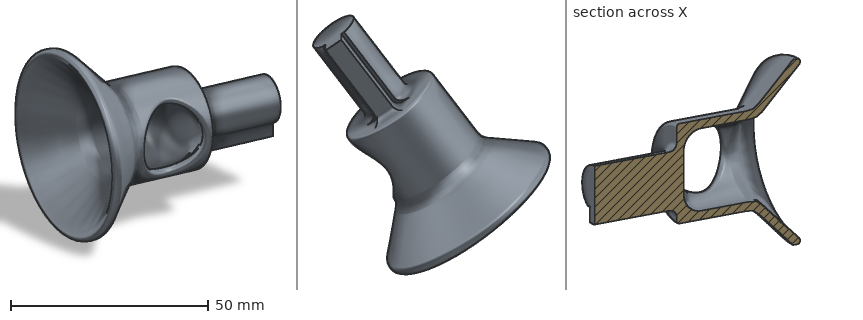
import cadquery as cq
import math

overall_length = 60.29
stem_length = 24.0
shoulder_y = overall_length - stem_length

body_radius = 13.5
wall = 2.5
bore_radius = body_radius - wall
floor_y = 34.03
floor_fillet = 5.0

cone_angle = math.radians(45)
edge_round = 1.0
rim_radius = 25.0
rim_centre_radius = rim_radius - edge_round
rim_inner_tangent_radius = rim_centre_radius - edge_round * math.sin(cone_angle)
rim_inner_tangent_y = edge_round - edge_round * math.cos(cone_angle)
inner_cone_reach = rim_inner_tangent_radius + rim_inner_tangent_y
outer_cone_reach = inner_cone_reach + wall * math.sqrt(2)
rim_top_y = outer_cone_reach - rim_radius
throat_y = outer_cone_reach - body_radius
inner_throat_y = inner_cone_reach - bore_radius
throat_blend = 5.0

stem_radius = 6.35
stem_flat_z = -5.4
key_width = 5.0
key_bottom_z = -9.5
root_fillet = 2.0

window_radius = 9.0
window_y = 25.0

runout_tip_radius = 10.46
runout_steps = 6

overlap = 0.6


def circle_edge(part, radius, y):
    """The full-circle edge about the Y axis with the given radius and position."""
    tolerance = 0.01
    corner = radius + tolerance
    low = (-corner, y - tolerance, -corner)
    high = (corner, y + tolerance, corner)
    flat_edges = part.edges(cq.selectors.BoxSelector(low, high, boundingbox=True))
    return flat_edges.filter(lambda edge: edge.BoundingBox().xmax > radius - tolerance)


def make_shell():
    """Bell and cup wall, with the bore still open at the shoulder."""
    rim_mid = cone_angle / 2
    rim_mid_point = (
        rim_centre_radius + edge_round * math.sin(rim_mid),
        edge_round - edge_round * math.cos(rim_mid),
    )
    shell = (
        cq.Workplane("XY")
        .moveTo(bore_radius, shoulder_y)
        .lineTo(body_radius, shoulder_y)
        .lineTo(body_radius, throat_y)
        .lineTo(rim_radius, rim_top_y)
        .lineTo(rim_radius, edge_round)
        .threePointArc(rim_mid_point, (rim_inner_tangent_radius, rim_inner_tangent_y))
        .lineTo(bore_radius, inner_throat_y)
        .close()
        .revolve(360, (0, 0, 0), (0, 1, 0))
    )
    rounds = [
        (body_radius, throat_y, throat_blend),
        (bore_radius, inner_throat_y, throat_blend),
        (body_radius, shoulder_y, edge_round),
        (rim_radius, rim_top_y, edge_round),
    ]
    for radius, y, size in rounds:
        shell = circle_edge(shell, radius, y).fillet(size)
    return shell


def window_cutter():
    """Cylinder along +X that forms the window."""
    return (
        cq.Workplane("YZ")
        .center(window_y, 0)
        .circle(window_radius)
        .extrude(rim_radius)
    )


def cut_window(shell):
    """Round window through the +X wall with both edges rounded."""
    reach = window_radius + overlap
    window_edges = cq.selectors.BoxSelector(
        (0, window_y - reach, -reach),
        (rim_radius, window_y + reach, reach),
        boundingbox=True,
    )
    return shell.cut(window_cutter()).edges(window_edges).fillet(edge_round)


def full_fillet_angle():
    """Angle from +X where the window edge is a full fillet height below the floor."""
    rise = floor_y - floor_fillet - window_y
    return math.degrees(math.asin(math.sqrt(window_radius**2 - rise**2) / bore_radius))


def runout_radius(angle):
    """Radius of the straight floor edge running from the full fillet to the tip."""
    limit = math.radians(full_fillet_angle())
    start_radius = bore_radius - floor_fillet
    start_x = start_radius * math.cos(limit)
    start_z = start_radius * math.sin(limit)
    turn = math.radians(angle)
    slope = start_z / (runout_tip_radius - start_x)
    return runout_tip_radius * slope / (math.sin(turn) + slope * math.cos(turn))


def fillet_section(angle):
    """Floor fillet profile in the radial plane at an angle from +X towards +Z."""
    window_edge_z = bore_radius * math.sin(math.radians(angle))
    height = floor_y - window_y - math.sqrt(window_radius**2 - window_edge_z**2)
    start_radius = runout_radius(abs(angle))
    reach = bore_radius - start_radius
    arc_radius = (reach**2 + height**2) / (2 * height)
    half_turn = math.atan2(height, reach)
    middle = (
        start_radius + arc_radius * math.sin(half_turn),
        floor_y - arc_radius * (1 - math.cos(half_turn)),
    )
    outer_radius = bore_radius + overlap
    plane = cq.Plane((0, 0, 0), (1, 0, 0), (0, 0, 1)).rotated((0, -angle, 0))
    return (
        cq.Workplane(plane)
        .moveTo(start_radius, floor_y)
        .threePointArc(middle, (bore_radius, floor_y - height))
        .lineTo(outer_radius, floor_y - height)
        .lineTo(outer_radius, floor_y + overlap)
        .lineTo(start_radius, floor_y + overlap)
        .close()
    )


def make_floor():
    """Cup floor with its fillet, running out over the window."""
    floor = (
        cq.Workplane("XZ", origin=(0, floor_y, 0))
        .circle(bore_radius + overlap)
        .extrude(floor_y - shoulder_y)
    )
    limit = full_fillet_angle()
    ring = fillet_section(limit).revolve(360 - 2 * limit, (0, 0, 0), (0, -1, 0))
    floor = floor.union(ring)
    for side in (1, -1):
        angles = [side * limit * step / runout_steps for step in range(runout_steps + 1)]
        wires = [fillet_section(angle).wire().val() for angle in angles]
        floor = floor.union(cq.Workplane(cq.Solid.makeLoft(wires)))
    return floor.cut(window_cutter())


def flared_edge(sketch, half_size):
    """Continue a sketch from the stem end down to the floor along a flared root."""
    root_mid = root_fillet * (1 - math.sin(math.radians(45)))
    return (
        sketch
        .lineTo(half_size, overall_length)
        .lineTo(half_size, shoulder_y + root_fillet)
        .threePointArc(
            (half_size + root_mid, shoulder_y + root_mid),
            (half_size + root_fillet, shoulder_y),
        )
        .lineTo(half_size + root_fillet, floor_y + overlap)
        .lineTo(0, floor_y + overlap)
        .close()
    )


def make_stem():
    """Stem with a flat, and a key on the flat, all flaring out at the shoulder."""
    start = cq.Workplane("XY").moveTo(0, overall_length)
    shaft = flared_edge(start, stem_radius).revolve(360, (0, 0, 0), (0, 1, 0))
    below_flat = (
        cq.Workplane("XY", origin=(0, shoulder_y, stem_flat_z))
        .rect(2 * body_radius, 2 * overall_length)
        .extrude(-body_radius)
    )
    shaft = shaft.cut(below_flat)

    half_key = flared_edge(start, key_width / 2).extrude(-body_radius)
    key = half_key.union(half_key.mirror("YZ"))
    key_side_plane = cq.Plane((-body_radius, 0, 0), (0, 0, -1), (1, 0, 0))
    side_start = cq.Workplane(key_side_plane).moveTo(0, overall_length)
    key_depth = flared_edge(side_start, -key_bottom_z).extrude(2 * body_radius)
    return shaft.union(key.intersect(key_depth))


result = cut_window(make_shell()).union(make_floor()).union(make_stem())